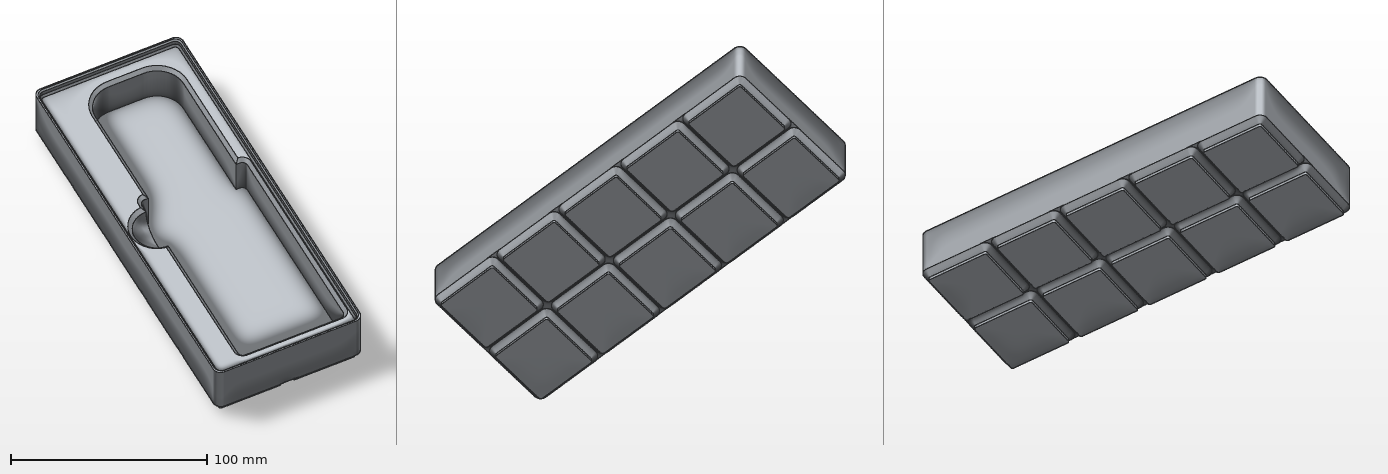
import cadquery as cq
LENGTH = 209.5
HEIGHT = 32.3
COLUMNS = 5
ROWS = 2
FOOT_GAP = 0.5
PITCH = (LENGTH + FOOT_GAP) / COLUMNS
WIDTH = ROWS * PITCH - FOOT_GAP
CORNER_RADIUS = 4.2

FOOT_BAND = 1.9
FOOT_CHAMFER = 3.1
FOOT_RISER = 0.25
FOOT_HEIGHT = FOOT_BAND + FOOT_CHAMFER + FOOT_RISER

DECK_Z = 28.0
LIP_LOWER_CHAMFER = 1.0
LIP_UPPER_CHAMFER = 0.8
LIP_BAND = HEIGHT - DECK_Z - LIP_LOWER_CHAMFER - LIP_UPPER_CHAMFER
LIP_TIP = 0.8
DECK_CORNER_RADIUS = 2.3

POCKET_FLOOR_Z = 6.0
POCKET_HALF_LENGTH = 95.0
POCKET_CENTER_Y = 6.5
STEP_X = -20.0
WIDE_BAY_WIDTH = 60.1
WIDE_BAY_RADIUS = 3.0
NARROW_BAY_WIDTH = 50.0
NARROW_BAY_RADIUS = 15.0
RIM_CHAMFER = 2.0

SCOOP_RADIUS = 12.5
SCOOP_CHAMFER = 2.3
SCOOP_CENTER_Y = POCKET_CENTER_Y - WIDE_BAY_WIDTH / 2


def rounded_prism(length, width, radius, bottom_z, height, flare=0.0):
    """Upright rounded rectangle; every side leans outward by `flare` degrees."""
    outline = cq.Sketch().rect(length, width).vertices().fillet(radius)
    return cq.Workplane("XY").workplane(offset=bottom_z).placeSketch(outline).extrude(height, taper=-flare)


def stacked_prism(length, width, radius, bottom_z, layers):
    """Rounded block of stacked (height, flares) layers; a flaring layer widens at 45 degrees."""
    block = cq.Workplane("XY")
    for height, flares in layers:
        block = block.union(rounded_prism(length, width, radius, bottom_z, height, 45 if flares else 0))
        bottom_z += height
        if flares:
            length += 2 * height
            width += 2 * height
            radius += height
    return block


def feet():
    size = PITCH - FOOT_GAP - 2 * FOOT_CHAMFER
    layers = [(FOOT_BAND, False), (FOOT_CHAMFER, True), (FOOT_RISER, False)]
    foot = stacked_prism(size, size, CORNER_RADIUS - FOOT_CHAMFER, 0, layers).val()
    centers = cq.Workplane("XY").rarray(PITCH, PITCH, COLUMNS, ROWS)
    return centers.eachpoint(lambda location: foot.moved(location))


def lip_recess():
    inset = LIP_TIP + LIP_UPPER_CHAMFER + LIP_LOWER_CHAMFER
    layers = [(LIP_LOWER_CHAMFER, True), (LIP_BAND, False), (LIP_UPPER_CHAMFER, True)]
    return stacked_prism(LENGTH - 2 * inset, WIDTH - 2 * inset, DECK_CORNER_RADIUS, DECK_Z, layers)


def bay(start_x, end_x, width, radius):
    """Flat-floored bay with a 45 degree chamfer around its rim."""
    length = end_x - start_x
    rim_z = DECK_Z - RIM_CHAMFER
    well = rounded_prism(length, width, radius, POCKET_FLOOR_Z, rim_z - POCKET_FLOOR_Z)
    rim = rounded_prism(length, width, radius, rim_z, RIM_CHAMFER, 45)
    return well.union(rim).translate(((start_x + end_x) / 2, POCKET_CENTER_Y, 0))


def pocket():
    wide_bay = bay(STEP_X, POCKET_HALF_LENGTH, WIDE_BAY_WIDTH, WIDE_BAY_RADIUS)
    narrow_end_x = STEP_X + 2 * NARROW_BAY_RADIUS
    narrow_bay = bay(-POCKET_HALF_LENGTH, narrow_end_x, NARROW_BAY_WIDTH, NARROW_BAY_RADIUS)
    return wide_bay.union(narrow_bay)


def finger_scoop():
    """Half-ball hollow with a 45 degree chamfer around its rim."""
    rim_z = DECK_Z - SCOOP_CHAMFER
    bowl = cq.Workplane("XY").workplane(offset=rim_z).sphere(SCOOP_RADIUS, angle1=-90, angle2=0)
    rim = cq.Workplane("XY").workplane(offset=rim_z).circle(SCOOP_RADIUS).extrude(SCOOP_CHAMFER, taper=-45)
    return bowl.union(rim).translate((0, SCOOP_CENTER_Y, 0))


body = rounded_prism(LENGTH, WIDTH, CORNER_RADIUS, FOOT_HEIGHT, HEIGHT - FOOT_HEIGHT)
result = body.union(feet()).cut(lip_recess()).cut(pocket()).cut(finger_scoop())